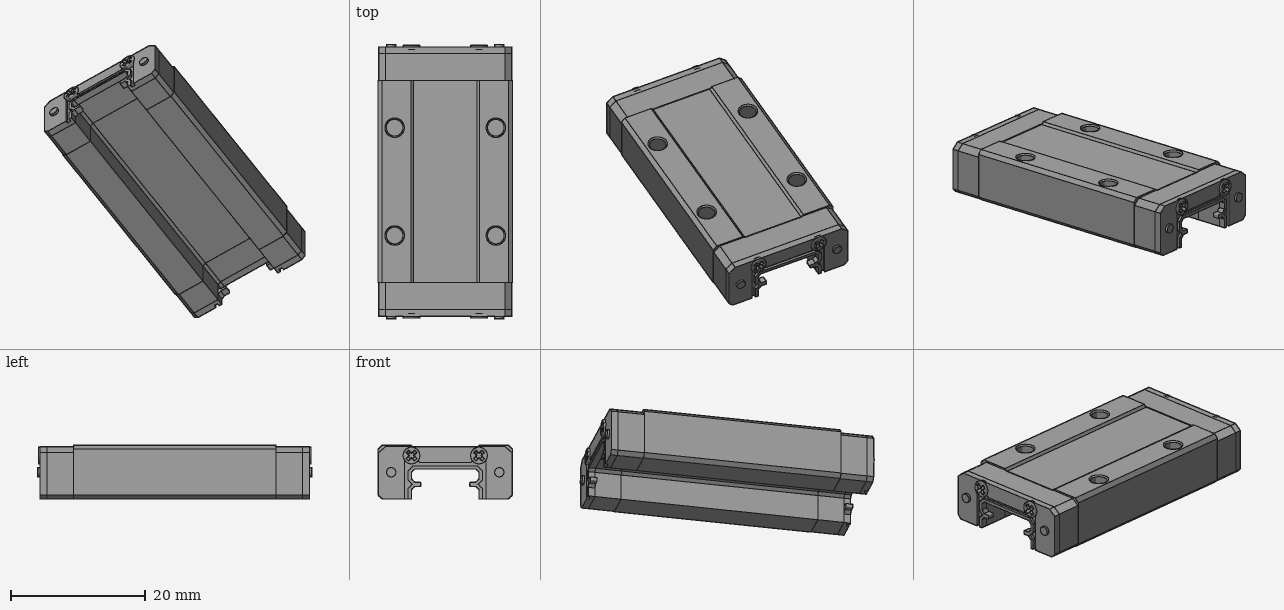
import cadquery as cq
import math

total_length = 40.7
total_height = 8.0
carriage_width = 20.0
carriage_length = 30.0
cap_length = 4.0
plate_thickness = 1.0

carriage_end = carriage_length / 2
cap_end = carriage_end + cap_length
plate_face = cap_end + plate_thickness
pin_tip = total_length / 2

carriage_chamfer = 0.6
relief_depth = 0.35
relief_half_width = 5.05
mount_hole_diameter = 2.5
mount_hole_chamfer = 0.2
mount_hole_chamfer_angle = 90
mount_hole_depth = 3.65
mount_pitch_x = 15.0
mount_pitch_y = 16.0

cap_width = 19.8
cap_height = 7.77
cap_chamfer_across = 1.0
cap_chamfer_down = 0.85
cap_bottom_chamfer = 0.6

opening_half_width = 5.0
opening_height = 4.45
opening_chamfer = 0.45

lip_thickness = 0.5
nose_height = 2.2
nose_half_height = 0.8
nose_tip_x = 3.62
nose_tip_thickness = 0.65
nose_tip_fillet = 0.15

channel_depth = 0.4
channel_half_width = 6.02
channel_top = 5.45
channel_top_half_width = 3.8

pin_diameter = 1.4
pin_x = 8.0
pin_z = 4.0

screw_diameter = 2.5
screw_x = 5.0
screw_z = 6.47
screw_protrusion = 0.25
screw_rim_fillet = 0.1
recess_arm_angles = (45, 135)
recess_depth = 0.45
recess_mouth_length = 1.8
recess_mouth_width = 0.53
recess_floor_length = 0.9
recess_floor_width = 0.4


def mirrored_outline(right_side):
    """Closed outline from its right half, listed from the bottom up, and the mirror image of it."""
    left_side = [(-x, z) for x, z in reversed(right_side)]
    return right_side + left_side


def prism(outline, y_start, length):
    """Extrude an XZ outline along +Y."""
    return cq.Workplane("XZ", origin=(0, y_start, 0)).polyline(outline).close().extrude(-length)


def opening_outline():
    """Plain rail opening, without the seal noses."""
    return mirrored_outline([
        (opening_half_width, 0),
        (opening_half_width, opening_height - opening_chamfer),
        (opening_half_width - opening_chamfer, opening_height),
    ])


def seal_outline(offset):
    """Rail opening with pointed 45 degree noses, moved outwards by an even offset."""
    wall = opening_half_width + offset
    top = opening_height + offset
    chamfer = opening_chamfer + offset * (2 - math.sqrt(2))
    nose = nose_half_height - offset * (math.sqrt(2) - 1)
    return mirrored_outline([
        (wall, 0),
        (wall, nose_height - nose),
        (wall - nose, nose_height),
        (wall, nose_height + nose),
        (wall, top - chamfer),
        (wall - chamfer, top),
    ])


def cap_outline():
    half = cap_width / 2
    return mirrored_outline([
        (half - cap_bottom_chamfer, 0),
        (half, cap_bottom_chamfer),
        (half, cap_height - cap_chamfer_down),
        (half - cap_chamfer_across, cap_height),
    ])


def make_carriage():
    half = carriage_width / 2
    relief_floor = total_height - relief_depth
    outline = mirrored_outline([
        (half - carriage_chamfer, 0),
        (half, carriage_chamfer),
        (half, total_height - carriage_chamfer),
        (half - carriage_chamfer, total_height),
        (relief_half_width, total_height),
        (relief_half_width - relief_depth, relief_floor),
    ])
    block = prism(outline, -carriage_end, carriage_length)
    block = block.cut(prism(opening_outline(), -carriage_end, carriage_length))
    mouth_diameter = mount_hole_diameter + 2 * mount_hole_chamfer
    return (
        block.faces(">Z").workplane(origin=(0, 0, total_height))
        .rarray(mount_pitch_x, mount_pitch_y, 2, 2)
        .cskHole(mount_hole_diameter, mouth_diameter, mount_hole_chamfer_angle, mount_hole_depth)
    )


def make_cap():
    """End cap on the -Y side."""
    cap = prism(cap_outline(), -cap_end, cap_length)
    return cap.cut(prism(opening_outline(), -cap_end, cap_length))


def disc(x, z, diameter, y_start, length):
    """Cylinder along +Y."""
    return cq.Workplane("XZ", origin=(x, y_start, z)).circle(diameter / 2).extrude(-length)


def make_nose_tip(side):
    """Flat bar that carries one seal nose further into the rail groove, with a rounded free end."""
    length = opening_half_width - nose_tip_x
    middle = side * (nose_tip_x + length / 2)
    free_end = "<X" if side > 0 else ">X"
    bar = cq.Workplane("XY").box(length, plate_thickness, nose_tip_thickness)
    bar = bar.faces(free_end).edges("|Y").fillet(nose_tip_fillet)
    return bar.translate((middle, -plate_face + plate_thickness / 2, nose_height))


def make_channel():
    """Recess around the seal lip, with 45 degree upper corners and round seats for the screw heads."""
    outline = mirrored_outline([
        (channel_half_width, 0),
        (channel_half_width, screw_z),
        (channel_top_half_width + (screw_z - channel_top), screw_z),
        (channel_top_half_width, channel_top),
    ])
    lip = prism(seal_outline(lip_thickness), -plate_face, channel_depth)
    channel = prism(outline, -plate_face, channel_depth).cut(lip)
    for side in (-1, 1):
        channel = channel.union(disc(side * screw_x, screw_z, screw_diameter, -plate_face, channel_depth))
    return channel


def make_plate():
    """End plate on the -Y side, with its seal lip and two pins."""
    plate = prism(cap_outline(), -plate_face, plate_thickness)
    plate = plate.cut(prism(seal_outline(0), -plate_face, plate_thickness))
    for side in (-1, 1):
        plate = plate.union(make_nose_tip(side))
    plate = plate.cut(make_channel())
    for side in (-1, 1):
        plate = plate.union(disc(side * pin_x, pin_z, pin_diameter, -pin_tip, pin_tip - plate_face))
    return plate


def make_screw(x):
    """Screw head on the -Y side, with a tapered cross recess turned by 45 degrees."""
    front = -plate_face - screw_protrusion
    head = disc(x, screw_z, screw_diameter, front, screw_protrusion + channel_depth)
    head = head.faces("<Y").edges().fillet(screw_rim_fillet)
    slot = (
        cq.Workplane("XZ", origin=(x, front, screw_z))
        .rect(recess_mouth_length, recess_mouth_width)
        .workplane(offset=-recess_depth)
        .rect(recess_floor_length, recess_floor_width)
        .loft()
    )
    for angle in recess_arm_angles:
        head = head.cut(slot.rotate((x, 0, screw_z), (x, 1, screw_z), angle))
    return head


def both_ends(body):
    """The body on the -Y side and its half-turn copy on the +Y side."""
    return [body.val(), body.rotate((0, 0, 0), (0, 0, 1), 180).val()]


carriage = make_carriage()
caps = both_ends(make_cap())
plates = both_ends(make_plate())
screws = []
for side in (-1, 1):
    screws += both_ends(make_screw(side * screw_x))

result = cq.Compound.makeCompound([carriage.val(), *caps, *plates, *screws])